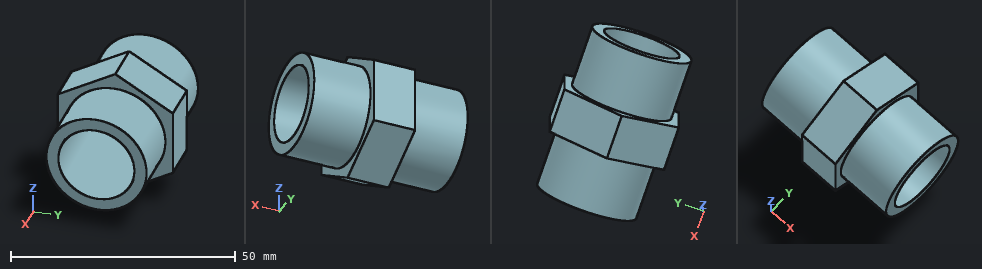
import cadquery as cq
import math

length = 38.0
tube_diameter = 23.5
bore_diameter = 17.8
hex_width = 10.22
hex_across_flats = 26.98

hex_across_corners = hex_across_flats / math.cos(math.pi / 6)


def centred_cylinder(diameter):
    """Full-length cylinder along X, centred on the origin."""
    return cq.Workplane("YZ").circle(diameter / 2).extrude(length / 2, both=True)


def hex_collar():
    """Central wrench collar with corners pointing up and down."""
    return (
        cq.Workplane("YZ")
        .transformed(rotate=(0, 0, 90))
        .polygon(6, hex_across_corners)
        .extrude(hex_width / 2, both=True)
    )


result = centred_cylinder(tube_diameter).union(hex_collar()).cut(centred_cylinder(bore_diameter))